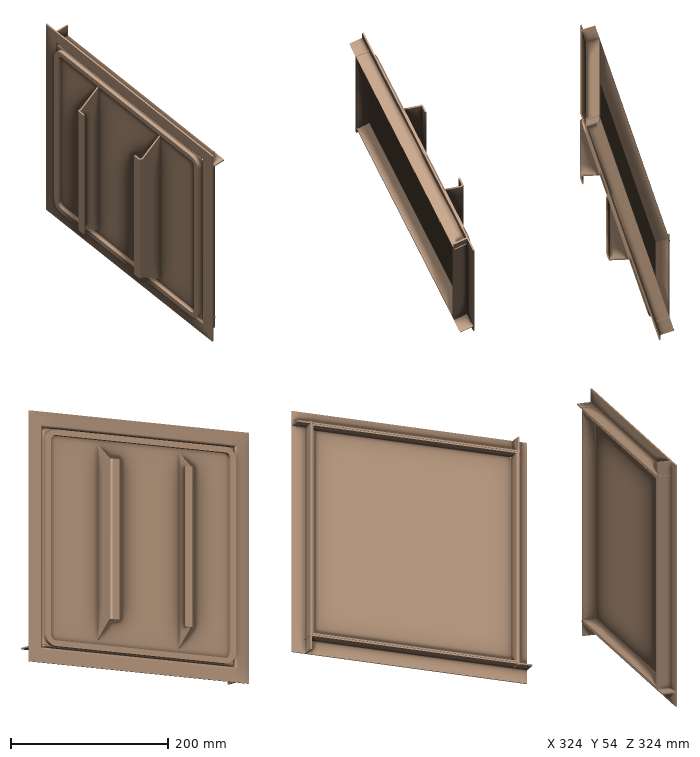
import cadquery as cq


sheet = 2.0
bend_inside = 1.0
bend_outside = bend_inside + sheet

frame_half = 162.0
angle_leg = 20.0
opening_half = frame_half - angle_leg
member_start = -(opening_half + bend_outside)

pan_clearance = 0.3
pan_half = opening_half - pan_clearance
pan_front = 0.5
pan_depth = angle_leg - pan_front

ring_half = 140.0
ring_width = 7.5
ring_front = -5.0
ring_thickness = pan_front - ring_front
ring_corner = 15.2

rail_outer_x = 61.0
rail_front = -34.0
rail_height = pan_front - rail_front
rail_lip = 12.0
rail_base_half = 125.5
rail_lip_half = 103.5
rail_straight = 5.2


def square_block(half, y_front, depth):
    """Square block centred on the Y axis, from y_front back by depth."""
    return cq.Workplane("XY").box(2 * half, depth, 2 * half).translate((0, y_front + depth / 2, 0))


def bent_strip(flange, leg, length):
    """L-shaped folded sheet, extruded up Z from Z = 0: a flange along +X with its front on
    Y = 0, and a leg along +Y at the far end of the flange, with a rounded bend between."""
    outside_corner = (flange, 0)
    inside_corner = (flange - sheet, sheet)
    strip = (
        cq.Workplane("XY")
        .polyline([
            (0, 0),
            outside_corner,
            (flange, leg),
            (flange - sheet, leg),
            inside_corner,
            (0, sheet),
        ])
        .close()
        .extrude(length)
    )
    for corner, radius in ((outside_corner, bend_outside), (inside_corner, bend_inside)):
        bend_edge = cq.selectors.NearestToPointSelector((*corner, length / 2))
        strip = strip.edges(bend_edge).fillet(radius)
    return strip


def quarter_turn(body, turns):
    """Turn a body about the Y axis; one turn carries the left side to the top."""
    return body.rotate((0, 0, 0), (0, 1, 0), 90 * turns)


def full_angle():
    """Left angle member before it is fitted to its neighbours."""
    length = frame_half - member_start
    return bent_strip(angle_leg, angle_leg, length).translate((-frame_half, 0, member_start))


def frame_member():
    """Left angle member: its flange butts on the bottom member, its leg passes through a
    slot in the bottom member's leg, and its own leg is slotted for the top member."""
    angle = full_angle()
    front_zone = square_block(2 * frame_half, 0, bend_outside)
    flange_part = angle.intersect(front_zone)
    leg_part = angle.cut(front_zone)
    flange_part = flange_part.cut(quarter_turn(flange_part, -1))
    leg_part = leg_part.cut(quarter_turn(leg_part, 1))
    return flange_part.union(leg_part)


def door_pan():
    """Shallow tray, open at the back, with folded sides and square reliefs where the bends meet."""
    outer = square_block(pan_half, pan_front, pan_depth).faces("<Y").edges().fillet(bend_outside)
    inner = (
        square_block(pan_half - sheet, pan_front + sheet, pan_depth - sheet)
        .faces("<Y").edges().fillet(bend_inside)
    )
    relief_centre = pan_half - bend_outside / 2
    reliefs = (
        cq.Workplane("XZ", origin=(0, pan_front, 0))
        .rect(2 * relief_centre, 2 * relief_centre, forConstruction=True)
        .vertices()
        .rect(bend_outside, bend_outside)
        .extrude(-bend_outside)
    )
    return outer.cut(inner).cut(reliefs)


def door_ring():
    """Flat square ring with rounded corners, lying on the front of the pan."""
    outer = square_block(ring_half, ring_front, ring_thickness).edges("|Y").fillet(ring_corner)
    inner = (
        square_block(ring_half - ring_width, ring_front, ring_thickness)
        .edges("|Y").fillet(ring_corner - ring_width)
    )
    return outer.cut(inner)


def rail(side):
    """L-shaped rail with tapered ends; its lip points toward the middle of the door.
    side is -1 for the left rail and +1 for the right rail."""
    strip = (
        bent_strip(rail_lip, rail_height, 2 * rail_base_half)
        .translate((-rail_lip, rail_front, -rail_base_half))
    )
    straight_y = rail_front + rail_straight
    side_outline = (
        cq.Workplane("YZ")
        .polyline([
            (pan_front, rail_base_half),
            (straight_y, rail_lip_half),
            (rail_front, rail_lip_half),
            (rail_front, -rail_lip_half),
            (straight_y, -rail_lip_half),
            (pan_front, -rail_base_half),
        ])
        .close()
        .extrude(-rail_lip)
    )
    right_rail = strip.intersect(side_outline).translate((rail_outer_x, 0, 0))
    return right_rail if side > 0 else right_rail.mirror("YZ")


left_member = frame_member()
frame_members = [quarter_turn(left_member, turns) for turns in range(4)]
pan = door_pan()
ring = door_ring()
rails = [rail(side) for side in (-1, 1)]

result = cq.Compound.makeCompound(
    [member.solids().val() for member in frame_members]
    + [pan.solids().val(), ring.solids().val()]
    + [one_rail.solids().val() for one_rail in rails]
)